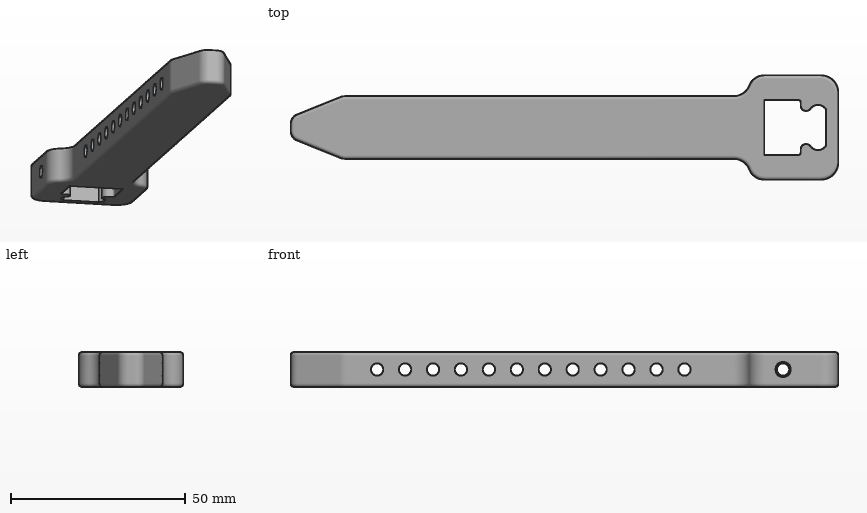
import cadquery as cq
import math

length = 157.0
head_width = 30.0
thickness = 10.0
strap_width = 18.0
edge_radius = 1.0

tip_flat_width = 6.0
taper_length = 14.9
tip_radius = 3.0
taper_end_radius = 4.0

head_straight_start = 135.8
shoulder_radius = 4.7
corner_radius = 5.0

window_start = 135.8
window_length = 10.4
window_width = 15.7
window_corner_radius = 0.6
tooth_gap = 9.4
tooth_radius = 1.5
pocket_end = 153.4
pocket_width = 12.9
pocket_radius = 2.7

strap_hole_count = 12
strap_hole_start = 24.8
strap_hole_pitch = 8.0
small_hole_diameter = 3.5
screw_hole_diameter = 4.4
screw_hole_x = 141.1


def body():
    """Strap with a tapered tip, S-shaped shoulders and a wider head."""
    strap_half = strap_width / 2
    head_half = head_width / 2
    tip_half = tip_flat_width / 2

    step = head_half - strap_half
    sweep = math.acos(1 - step / (2 * shoulder_radius))
    arc_run = shoulder_radius * math.sin(sweep)
    half_run = shoulder_radius * math.sin(sweep / 2)
    half_rise = shoulder_radius * (1 - math.cos(sweep / 2))
    shoulder_start = head_straight_start - 2 * arc_run
    shoulder_middle = (head_straight_start - arc_run, strap_half + step / 2)
    hollow_point = (shoulder_start + half_run, strap_half + half_rise)
    crown_point = (head_straight_start - half_run, head_half - half_rise)

    def mirrored(point):
        return point[0], -point[1]

    outline = (
        cq.Workplane("XY")
        .moveTo(0, tip_half)
        .lineTo(taper_length, strap_half)
        .lineTo(shoulder_start, strap_half)
        .threePointArc(hollow_point, shoulder_middle)
        .threePointArc(crown_point, (head_straight_start, head_half))
        .lineTo(length, head_half)
        .lineTo(length, -head_half)
        .lineTo(head_straight_start, -head_half)
        .threePointArc(mirrored(crown_point), mirrored(shoulder_middle))
        .threePointArc(mirrored(hollow_point), (shoulder_start, -strap_half))
        .lineTo(taper_length, -strap_half)
        .lineTo(0, -tip_half)
        .close()
    )
    solid = outline.extrude(thickness)
    solid = fillet_upright_edges(solid, 0, tip_half, tip_radius)
    solid = fillet_upright_edges(solid, taper_length, strap_half, taper_end_radius)
    solid = fillet_upright_edges(solid, length, head_half, corner_radius)
    return solid.faces("<Z or >Z").fillet(edge_radius)


def fillet_upright_edges(solid, x, y, radius):
    """Round the pair of upright edges at (x, y) and (x, -y)."""
    reach = 0.2
    for side in (1, -1):
        selector = cq.selectors.BoxSelector(
            (x - reach, side * y - reach, -reach),
            (x + reach, side * y + reach, thickness + reach),
        )
        solid = solid.edges("|Z").edges(selector).fillet(radius)
    return solid


def window():
    """Cutter for the square window and the round-sided pocket behind its teeth."""
    square = (
        cq.Workplane("XY")
        .moveTo(window_start + window_length / 2, 0)
        .rect(window_length, window_width)
        .extrude(thickness)
        .edges("|Z and >X")
        .fillet(window_corner_radius)
    )

    tooth_start = window_start + window_length
    tooth_x = tooth_start + tooth_radius
    tooth_y = tooth_gap / 2 + tooth_radius
    pocket_y = pocket_width / 2 - pocket_radius
    center_distance = tooth_radius + pocket_radius
    angle = math.asin((tooth_y - pocket_y) / center_distance)
    pocket_x = tooth_x + center_distance * math.cos(angle)

    touch_point = (
        tooth_x + tooth_radius * math.cos(angle),
        tooth_y - tooth_radius * math.sin(angle),
    )
    end_reach = pocket_end - pocket_x
    end_point = (pocket_end, pocket_y + math.sqrt(pocket_radius**2 - end_reach**2))
    half_pocket = (
        cq.Workplane("XY")
        .moveTo(tooth_start, 0)
        .lineTo(tooth_start, tooth_y)
        .threePointArc((tooth_x, tooth_gap / 2), touch_point)
        .threePointArc((pocket_x, pocket_width / 2), end_point)
        .lineTo(pocket_end, 0)
        .close()
        .extrude(thickness)
    )
    return square.union(half_pocket).union(half_pocket.mirror("XZ"))


def cross_hole(x, diameter, start_y, end_y):
    """Cutter for a round hole along Y, from start_y to end_y."""
    return (
        cq.Workplane("XZ", origin=(x, start_y, thickness / 2))
        .circle(diameter / 2)
        .extrude(start_y - end_y)
    )


result = body().cut(window())

for index in range(strap_hole_count):
    hole_x = strap_hole_start + index * strap_hole_pitch
    result = result.cut(cross_hole(hole_x, small_hole_diameter, -strap_width / 2, strap_width / 2))

result = result.cut(cross_hole(screw_hole_x, screw_hole_diameter, -head_width / 2, 0))
result = result.cut(cross_hole(screw_hole_x, small_hole_diameter, 0, head_width / 2))